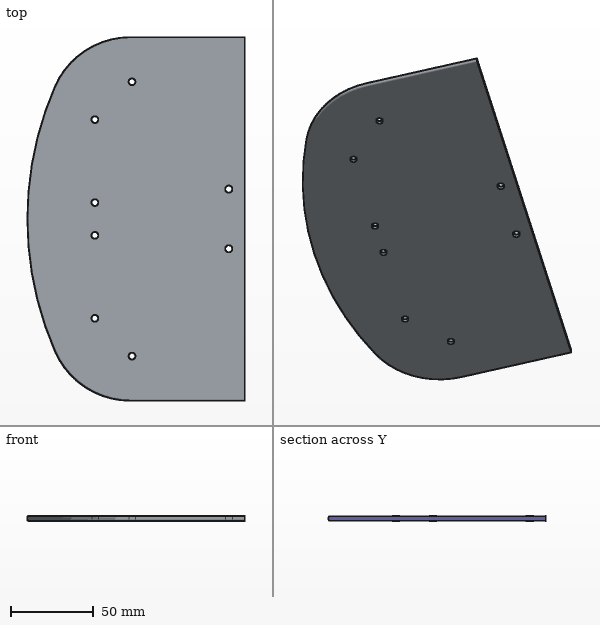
import cadquery as cq
import math

length = 220.0
width = 131.5
thickness = 3.0

bow_radius = 200.0
corner_radius = 50.0
rim_fillet = 1.0

small_hole_diameter = 4.0
back_hole_diameter = 4.2
small_hole_places = [(68.2, 83.0), (90.6, 60.0), (90.6, 10.0)]
back_hole_places = [(9.7, 18.0)]

half_length = length / 2
bow_center_x = bow_radius - width
corner_center_y = half_length - corner_radius
center_distance = bow_radius - corner_radius
corner_center_x = bow_center_x - math.sqrt(center_distance**2 - corner_center_y**2)
tangent_angle = math.asin(corner_center_y / center_distance)


def corner_point(angle):
    """Point on the +Y corner arc, at an angle measured from the -X direction toward +Y."""
    return (
        corner_center_x - corner_radius * math.cos(angle),
        corner_center_y + corner_radius * math.sin(angle),
    )


def mirrored(point):
    """Reflect a point across the plate's centreline."""
    x, y = point
    return (x, -y)


def make_plate():
    straight_end = corner_point(math.pi / 2)
    corner_middle = corner_point((math.pi / 2 + tangent_angle) / 2)
    bow_end = corner_point(tangent_angle)
    plate = (
        cq.Workplane("XY")
        .moveTo(0, half_length)
        .lineTo(*straight_end)
        .threePointArc(corner_middle, bow_end)
        .threePointArc((-width, 0), mirrored(bow_end))
        .threePointArc(mirrored(corner_middle), mirrored(straight_end))
        .lineTo(0, -half_length)
        .close()
        .extrude(thickness)
    )
    rim_edges = plate.faces("|Z").edges().edges("not(>X)")
    return plate.newObject(rim_edges.vals()).fillet(rim_fillet)


def drill_pairs(plate, places, diameter):
    """Drill through holes at each place on both sides of the centreline."""
    points = [(-inset, side * offset) for inset, offset in places for side in (1, -1)]
    drills = cq.Workplane("XY").pushPoints(points).circle(diameter / 2).extrude(thickness)
    return plate.cut(drills)


result = make_plate()
result = drill_pairs(result, small_hole_places, small_hole_diameter)
result = drill_pairs(result, back_hole_places, back_hole_diameter)